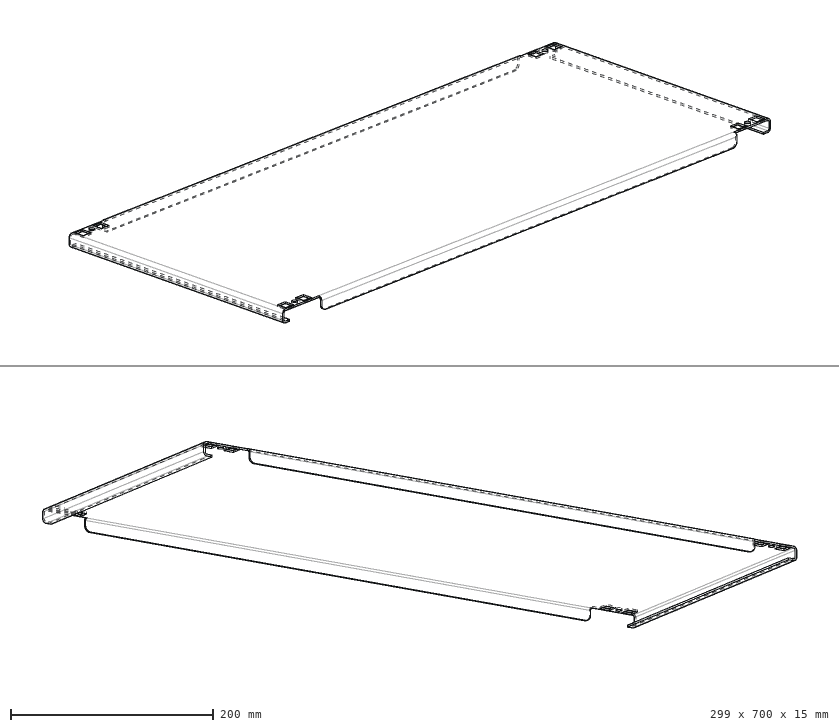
import cadquery as cq

WIDTH = 299.0
LENGTH = 700.0
HEIGHT = 15.0
THICKNESS = 2.0

BEND_OUTER = 4.0
BEND_INNER = BEND_OUTER - THICKNESS

FLAT_WIDTH = WIDTH - 2 * BEND_OUTER
LIP_DEPTH = 10.0

SIDE_LENGTH = 596.0
SIDE_CORNER_RADIUS = 6.0

HOLE_X = 138.0
HOLE_Y = 325.0
HOLE_DIAMETER = 6.0
WINDOW_SIZE = 11.0
WINDOW_OFFSET = 13.0


def channel_block(inset, radius):
    """Solid block with rounded ends, inset from the panel's ends, top and bottom."""
    return (
        cq.Workplane("XY")
        .box(FLAT_WIDTH, LENGTH - 2 * inset, HEIGHT - 2 * inset)
        .translate((0, 0, HEIGHT / 2))
        .edges("|X")
        .fillet(radius)
    )


def make_channel():
    """Top sheet with both ends folded down and then inward into a lip."""
    outer = channel_block(0, BEND_OUTER)
    inner = channel_block(THICKNESS, BEND_INNER)
    gap_between_lips = cq.Workplane("XY").box(
        FLAT_WIDTH, LENGTH - 2 * LIP_DEPTH, 2 * THICKNESS
    )
    return outer.cut(inner).cut(gap_between_lips)


def make_side_flange():
    """Strip bent down along the +X edge of the flat sheet."""
    edge = FLAT_WIDTH / 2
    bend_z = HEIGHT - BEND_OUTER
    diagonal = 0.5**0.5
    return (
        cq.Workplane("XZ")
        .moveTo(edge, HEIGHT)
        .threePointArc(
            (edge + BEND_OUTER * diagonal, bend_z + BEND_OUTER * diagonal),
            (edge + BEND_OUTER, bend_z),
        )
        .lineTo(edge + BEND_OUTER, 0)
        .lineTo(edge + BEND_INNER, 0)
        .lineTo(edge + BEND_INNER, bend_z)
        .threePointArc(
            (edge + BEND_INNER * diagonal, bend_z + BEND_INNER * diagonal),
            (edge, HEIGHT - THICKNESS),
        )
        .close()
        .extrude(SIDE_LENGTH / 2, both=True)
        .faces("<Z")
        .edges("|X")
        .fillet(SIDE_CORNER_RADIUS)
    )


def make_corner_cutter(side_x, side_y):
    """Tool for one corner's holes, reaching through the top sheet only."""
    sheet_bottom = cq.Workplane(
        "XY", origin=(side_x * HOLE_X, side_y * HOLE_Y, HEIGHT - THICKNESS)
    )
    round_hole = sheet_bottom.circle(HOLE_DIAMETER / 2).extrude(THICKNESS)
    windows = (
        sheet_bottom.pushPoints([(0, -WINDOW_OFFSET), (0, WINDOW_OFFSET)])
        .rect(WINDOW_SIZE, WINDOW_SIZE)
        .extrude(THICKNESS)
    )
    return round_hole.union(windows)


side_flange = make_side_flange()
result = make_channel().union(side_flange).union(side_flange.mirror("YZ"))
for side_x in (-1, 1):
    for side_y in (-1, 1):
        result = result.cut(make_corner_cutter(side_x, side_y))